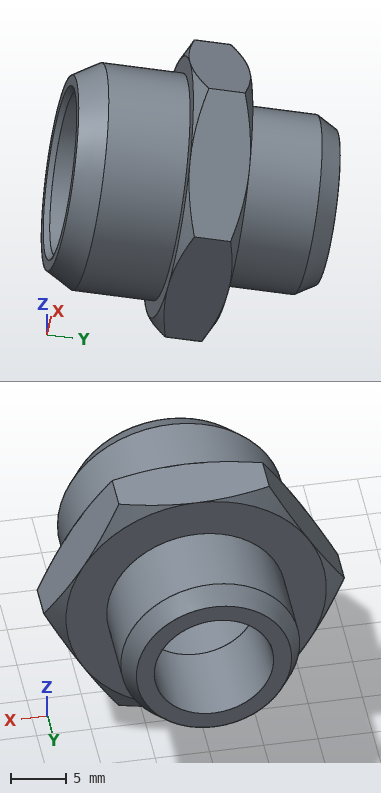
import cadquery as cq
import math

hex_across_corners = 27.7
hex_across_flats = hex_across_corners * math.cos(math.radians(30))
hex_width = 5.5
hex_chamfer_angle = 30.0

front_diameter = 20.85
front_length = 10.0
front_taper_length = 2.5
rear_diameter = 16.5
rear_length = 9.0
rear_taper_length = 1.88
taper_angle = 30.0

socket_diameter = 15.0
socket_mouth_diameter = 16.0
socket_depth = 15.0
mouth_chamfer_angle = 45.0
bore_diameter = 11.0
step_cone_angle = 60.0

front_end = -front_length
rear_end = hex_width + rear_length


def slope(angle):
    """Radial change per unit of axial length at an angle to the axis."""
    return math.tan(math.radians(angle))


def revolve_profile(points):
    """Turn a closed (radius, y) outline around the Y axis."""
    return cq.Workplane("XY").polyline(points).close().revolve(360, (0, 0, 0), (0, 1, 0))


def make_collar():
    """Hexagon with corners on the X axis, chamfered on both faces."""
    flat_radius = hex_across_flats / 2
    corner_radius = hex_across_corners / 2
    chamfer_length = (corner_radius - flat_radius) * slope(hex_chamfer_angle)
    prism = cq.Workplane("XZ").polygon(6, hex_across_corners).extrude(-hex_width)
    envelope = revolve_profile([
        (0, 0),
        (flat_radius, 0),
        (corner_radius, chamfer_length),
        (corner_radius, hex_width - chamfer_length),
        (flat_radius, hex_width),
        (0, hex_width),
    ])
    return prism.intersect(envelope)


def make_spigots():
    """Both tapered spigots, joined through the middle of the collar."""
    front_radius = front_diameter / 2
    rear_radius = rear_diameter / 2
    middle = hex_width / 2
    return revolve_profile([
        (0, front_end),
        (front_radius - front_taper_length * slope(taper_angle), front_end),
        (front_radius, front_end + front_taper_length),
        (front_radius, middle),
        (rear_radius, middle),
        (rear_radius, rear_end - rear_taper_length),
        (rear_radius - rear_taper_length * slope(taper_angle), rear_end),
        (0, rear_end),
    ])


def make_passage():
    """Solid filling the stepped through passage."""
    mouth_radius = socket_mouth_diameter / 2
    socket_radius = socket_diameter / 2
    bore_radius = bore_diameter / 2
    mouth_length = (mouth_radius - socket_radius) / slope(mouth_chamfer_angle)
    socket_end = front_end + socket_depth
    cone_end = socket_end + (socket_radius - bore_radius) / slope(step_cone_angle)
    return revolve_profile([
        (0, front_end),
        (mouth_radius, front_end),
        (socket_radius, front_end + mouth_length),
        (socket_radius, socket_end),
        (bore_radius, cone_end),
        (bore_radius, rear_end),
        (0, rear_end),
    ])


result = make_collar().union(make_spigots()).cut(make_passage())